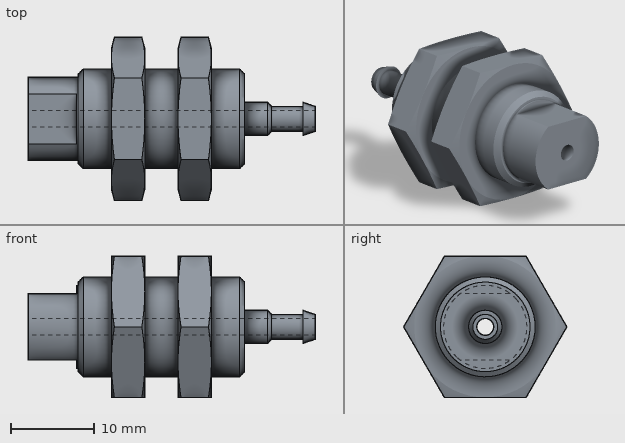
import cadquery as cq
import math

LENGTH = 34.5
BORE_DIAMETER = 2.0

HEAD_DIAMETER = 10.0
FLAT_LENGTH = 5.83
FLAT_SPACING = 8.0

BODY_DIAMETER = 12.0
BODY_START = 6.0
BODY_END = 26.0
BODY_CHAMFER = 0.62

NUT_ACROSS_FLATS = 17.0
NUT_THICKNESS = 4.0
NUT_STARTS = (10.0, 18.0)
NUT_CHAMFER_ANGLE = 15.0

STEM_DIAMETER = 4.0
STEM_END = 28.77
NECK_DIAMETER = 3.0
NECK_START = 29.25
BARB_START = 33.0
BARB_DIAMETER = 4.0
BARB_TIP_DIAMETER = 3.0


def revolve_profile(points):
    """Revolve (x, radius) points around the X axis."""
    axis_end = (1, 0, 0)
    return cq.Workplane("XY").polyline(points).close().revolve(360, (0, 0, 0), axis_end)


def make_turned_parts():
    """Head, body, stem and barb as one solid of revolution."""
    body_radius = BODY_DIAMETER / 2
    return revolve_profile([
        (0, 0),
        (0, HEAD_DIAMETER / 2),
        (BODY_START, HEAD_DIAMETER / 2),
        (BODY_START, body_radius - BODY_CHAMFER),
        (BODY_START + BODY_CHAMFER, body_radius),
        (BODY_END - BODY_CHAMFER, body_radius),
        (BODY_END, body_radius - BODY_CHAMFER),
        (BODY_END, STEM_DIAMETER / 2),
        (STEM_END, STEM_DIAMETER / 2),
        (NECK_START, NECK_DIAMETER / 2),
        (BARB_START, NECK_DIAMETER / 2),
        (BARB_START, BARB_DIAMETER / 2),
        (LENGTH, BARB_TIP_DIAMETER / 2),
        (LENGTH, 0),
    ])


def make_flat_cutter(side):
    """Block that removes the head above (side = 1) or below (side = -1) its flat."""
    depth = HEAD_DIAMETER / 2
    center_z = side * (FLAT_SPACING + depth) / 2
    block = cq.Workplane("XY").box(FLAT_LENGTH, HEAD_DIAMETER, depth)
    return block.translate((FLAT_LENGTH / 2, 0, center_z))


def make_nut(start):
    """Hexagonal nut with corners along Y and both faces chamfered."""
    flat_radius = NUT_ACROSS_FLATS / 2
    corner_radius = flat_radius / math.cos(math.pi / 6)
    end = start + NUT_THICKNESS
    chamfer_depth = (corner_radius - flat_radius) * math.tan(math.radians(NUT_CHAMFER_ANGLE))
    hexagon = (
        cq.Workplane("YZ", origin=(start, 0, 0))
        .polygon(6, 2 * corner_radius)
        .extrude(NUT_THICKNESS)
    )
    envelope = revolve_profile([
        (start, 0),
        (start, flat_radius),
        (start + chamfer_depth, corner_radius),
        (end - chamfer_depth, corner_radius),
        (end, flat_radius),
        (end, 0),
    ])
    return hexagon.intersect(envelope)


result = make_turned_parts()
for flat_side in (1, -1):
    result = result.cut(make_flat_cutter(flat_side))
for nut_start in NUT_STARTS:
    result = result.union(make_nut(nut_start))

bore = cq.Workplane("YZ").circle(BORE_DIAMETER / 2).extrude(LENGTH)
result = result.cut(bore)